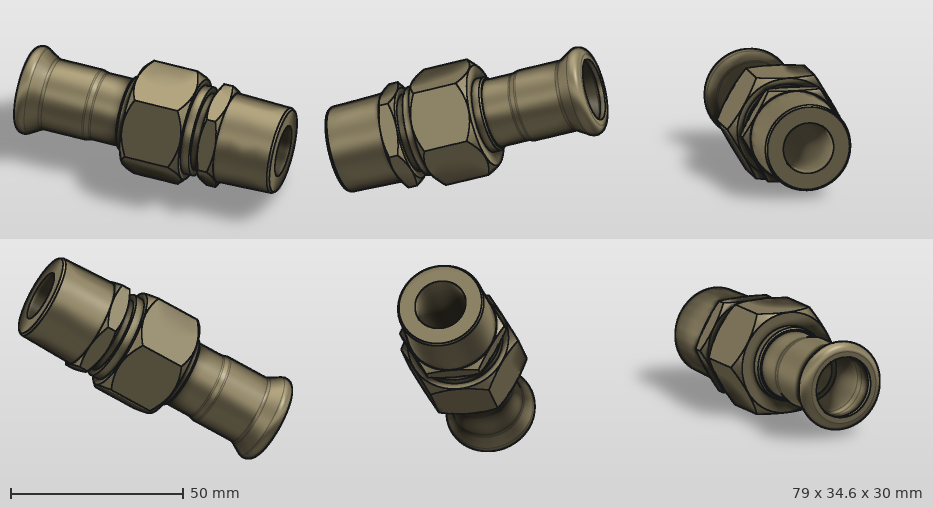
import cadquery as cq
import math

LENGTH = 79.0
BORE_D = 15.0

WALL = 1.5
BEAD_D = 26.2
BEAD_R = 2.45
BEAD_SLOPE = 30.0
SLEEVE_D = 21.0
NECK_D = 20.0
NECK_SLOPE = 15.0
NECK_START_X = 20.6
BLEND_R = 1.9

SHOULDER_D = 22.0
SHOULDER_X = 31.05
SHOULDER_CHAMFER = 0.55

NUT_X = 33.9
NUT_LENGTH = 18.0
NUT_FLATS = 30.0
NUT_FACE_D = 29.9
NUT_BEVEL = 45.0

COLLAR_D = 26.5
COLLAR_LENGTH = 2.6
GROOVE_D = 23.0
HEX_X = 56.95
HEX_LENGTH = 5.05
HEX_FLATS = 26.85
HEX_FACE_D = 26.85
HEX_BEVEL = 60.0

TAPER = 1 / 16
TAPER_START_D = 26.5
TIP_CHAMFER_LENGTH = 0.7
TIP_CHAMFER_DEPTH = 0.5

nut_end_x = NUT_X + NUT_LENGTH
socket_d = SLEEVE_D - 2 * WALL
socket_end_x = NECK_START_X
collar_end_x = nut_end_x + COLLAR_LENGTH
hex_end_x = HEX_X + HEX_LENGTH


def cylinder(start_x, length, diameter):
    """Solid cylinder along X."""
    return cq.Workplane("YZ", origin=(start_x, 0, 0)).circle(diameter / 2).extrude(length)


def revolve_about_x(profile):
    """Turn a closed (x, radius) profile around the X axis."""
    return profile.close().revolve(360, (0, 0, 0), (1, 0, 0))


def arc_point(centre, radius, degrees):
    """Point on a circle, with the angle measured from +radius towards +X."""
    angle = math.radians(degrees)
    return (centre[0] + radius * math.sin(angle), centre[1] + radius * math.cos(angle))


def bevelled_hexagon(start_x, length, flats, face_d, bevel):
    """Hexagon with corners on Y, both ends turned to a cone; bevel is measured from the axis."""
    corners_d = flats / math.cos(math.pi / 6)
    prism = cq.Workplane("YZ", origin=(start_x, 0, 0)).polygon(6, corners_d).extrude(length)
    bevel_depth = (corners_d - face_d) / 2
    bevel_length = bevel_depth / math.tan(math.radians(bevel))
    end_x = start_x + length
    envelope = revolve_about_x(
        cq.Workplane("XY")
        .moveTo(start_x, 0)
        .lineTo(start_x, face_d / 2)
        .lineTo(start_x + bevel_length, corners_d / 2)
        .lineTo(end_x - bevel_length, corners_d / 2)
        .lineTo(end_x, face_d / 2)
        .lineTo(end_x, 0)
    )
    return prism.intersect(envelope)


bead_centre = (BEAD_R, BEAD_D / 2 - BEAD_R)
bead_end = arc_point(bead_centre, BEAD_R, BEAD_SLOPE)

slope_angle = math.radians(BEAD_SLOPE)
blend_start_r = SLEEVE_D / 2 + BLEND_R * (1 - math.cos(slope_angle))
blend_start_x = bead_end[0] + (bead_end[1] - blend_start_r) / math.tan(slope_angle)
sleeve_start_x = blend_start_x + BLEND_R * math.sin(slope_angle)
sleeve_blend_centre = (sleeve_start_x, SLEEVE_D / 2 + BLEND_R)


def make_press_end():
    """Bead, sleeve and neck, joined by tangent slopes and blends."""
    sleeve_r = SLEEVE_D / 2
    neck_r = NECK_D / 2

    neck_slope = math.radians(NECK_SLOPE)
    neck_drop = sleeve_r - neck_r - 2 * BLEND_R * (1 - math.cos(neck_slope))
    neck_run = neck_drop / math.tan(neck_slope) + 2 * BLEND_R * math.sin(neck_slope)
    sleeve_end_centre = (NECK_START_X, sleeve_r - BLEND_R)
    neck_blend_centre = (NECK_START_X + neck_run, neck_r + BLEND_R)

    return revolve_about_x(
        cq.Workplane("XY")
        .moveTo(0, 0)
        .lineTo(0, bead_centre[1])
        .threePointArc(arc_point(bead_centre, BEAD_R, 0), bead_end)
        .lineTo(*arc_point(sleeve_blend_centre, BLEND_R, 180 + BEAD_SLOPE))
        .threePointArc(
            arc_point(sleeve_blend_centre, BLEND_R, 180 + BEAD_SLOPE / 2),
            (sleeve_start_x, sleeve_r),
        )
        .lineTo(NECK_START_X, sleeve_r)
        .threePointArc(
            arc_point(sleeve_end_centre, BLEND_R, NECK_SLOPE / 2),
            arc_point(sleeve_end_centre, BLEND_R, NECK_SLOPE),
        )
        .lineTo(*arc_point(neck_blend_centre, BLEND_R, 180 + NECK_SLOPE))
        .threePointArc(
            arc_point(neck_blend_centre, BLEND_R, 180 + NECK_SLOPE / 2),
            (neck_blend_centre[0], neck_r),
        )
        .lineTo(SHOULDER_X, neck_r)
        .lineTo(SHOULDER_X, 0)
    )


def make_socket():
    """Socket with a seal groove that keeps an even wall inside the bead and its slope."""
    groove_r = BEAD_R - WALL
    blend_r = BLEND_R + WALL
    return revolve_about_x(
        cq.Workplane("XY")
        .moveTo(0, 0)
        .lineTo(0, socket_d / 2)
        .lineTo(WALL, socket_d / 2)
        .lineTo(*arc_point(bead_centre, groove_r, -90))
        .threePointArc(
            arc_point(bead_centre, groove_r, 0),
            arc_point(bead_centre, groove_r, BEAD_SLOPE),
        )
        .lineTo(*arc_point(sleeve_blend_centre, blend_r, 180 + BEAD_SLOPE))
        .threePointArc(
            arc_point(sleeve_blend_centre, blend_r, 180 + BEAD_SLOPE / 2),
            (sleeve_start_x, socket_d / 2),
        )
        .lineTo(socket_end_x, socket_d / 2)
        .lineTo(socket_end_x, 0)
    )


def make_shoulder():
    """Shoulder running through the nut, chamfered at the neck."""
    shoulder = cylinder(SHOULDER_X, nut_end_x - SHOULDER_X, SHOULDER_D)
    return shoulder.faces("<X").chamfer(SHOULDER_CHAMFER)


def make_male_end():
    """Tapered end with a chamfered tip."""
    taper_end_x = LENGTH - TIP_CHAMFER_LENGTH
    taper_end_r = (TAPER_START_D - TAPER * (taper_end_x - hex_end_x)) / 2
    return revolve_about_x(
        cq.Workplane("XY")
        .moveTo(hex_end_x, 0)
        .lineTo(hex_end_x, TAPER_START_D / 2)
        .lineTo(taper_end_x, taper_end_r)
        .lineTo(LENGTH, taper_end_r - TIP_CHAMFER_DEPTH)
        .lineTo(LENGTH, 0)
    )


def make_fitting():
    """Tubular fitting from the press end to the male end."""
    fitting = (
        make_press_end()
        .union(make_shoulder())
        .union(cylinder(nut_end_x, COLLAR_LENGTH, COLLAR_D))
        .union(cylinder(collar_end_x, HEX_X - collar_end_x, GROOVE_D))
        .union(bevelled_hexagon(HEX_X, HEX_LENGTH, HEX_FLATS, HEX_FACE_D, HEX_BEVEL))
        .union(make_male_end())
    )
    bore = cylinder(0, LENGTH, BORE_D)
    return fitting.cut(bore).cut(make_socket())


def make_nut():
    """Union nut seated on the shoulder."""
    blank = bevelled_hexagon(NUT_X, NUT_LENGTH, NUT_FLATS, NUT_FACE_D, NUT_BEVEL)
    return blank.cut(cylinder(NUT_X, NUT_LENGTH, SHOULDER_D))


fitting = make_fitting()
nut = make_nut()
result = cq.Compound.makeCompound([fitting.val(), nut.val()])